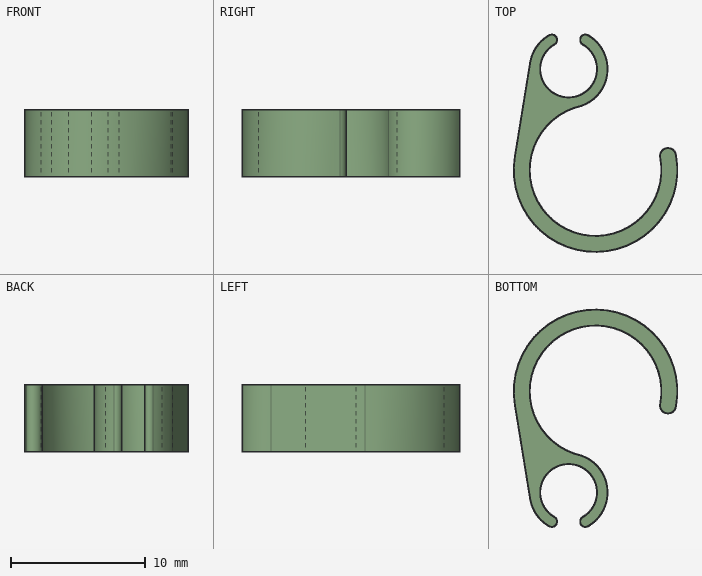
import cadquery as cq
import math

height = 5.0
big_inner_radius = 4.875
big_wall = 1.2
small_inner_radius = 2.1
small_wall = 0.8
small_center = (-2.0, 7.5)
big_tip_angle = 11.0
small_tip_angle = 60.0

big_outer_radius = big_inner_radius + big_wall
small_outer_radius = small_inner_radius + small_wall
center_distance = math.hypot(*small_center)
big_center = (0.0, 0.0)

to_small = math.degrees(math.atan2(small_center[1], small_center[0]))
flank_normal = to_small + math.degrees(
    math.acos((big_outer_radius - small_outer_radius) / center_distance)
)
left_tip_angle = 180.0 - small_tip_angle


def triangle_angle(near_side, other_near_side, far_side):
    """Angle (degrees) between two sides of a triangle, opposite the far side."""
    cosine = (near_side**2 + other_near_side**2 - far_side**2) / (2 * near_side * other_near_side)
    return math.degrees(math.acos(cosine))


crossing_from_big = to_small - triangle_angle(center_distance, big_inner_radius, small_outer_radius)
crossing_from_small = (
    to_small - 180.0 + triangle_angle(center_distance, small_outer_radius, big_inner_radius)
)


def polar(center, radius, angle):
    """Point at a radius and an angle (degrees) from a centre."""
    turn = math.radians(angle)
    return (center[0] + radius * math.cos(turn), center[1] + radius * math.sin(turn))


def arc(sketch, center, radius, start, end):
    """Continue the outline along a circle to the end angle."""
    middle = (start + end) / 2
    return sketch.threePointArc(polar(center, radius, middle), polar(center, radius, end))


def round_tip(sketch, center, inner_radius, wall, angle, start, end):
    """Continue the outline half way round the end of a curved wall."""
    tip_center = polar(center, inner_radius + wall / 2, angle)
    return arc(sketch, tip_center, wall / 2, start, end)


def clip_outline():
    """Closed outline, walked clockwise from the outer end of the hook tip."""
    sketch = cq.Workplane("XY").moveTo(*polar(big_center, big_outer_radius, big_tip_angle))

    sketch = arc(sketch, big_center, big_outer_radius, big_tip_angle + 360, flank_normal)
    sketch = sketch.lineTo(*polar(small_center, small_outer_radius, flank_normal))

    sketch = arc(sketch, small_center, small_outer_radius, flank_normal, left_tip_angle)
    sketch = round_tip(
        sketch, small_center, small_inner_radius, small_wall,
        left_tip_angle, left_tip_angle, left_tip_angle - 180,
    )
    sketch = arc(sketch, small_center, small_inner_radius, left_tip_angle, small_tip_angle + 360)
    sketch = round_tip(
        sketch, small_center, small_inner_radius, small_wall,
        small_tip_angle, small_tip_angle + 180, small_tip_angle,
    )
    sketch = arc(sketch, small_center, small_outer_radius, small_tip_angle, crossing_from_small)

    sketch = arc(sketch, big_center, big_inner_radius, crossing_from_big, big_tip_angle + 360)
    sketch = round_tip(
        sketch, big_center, big_inner_radius, big_wall,
        big_tip_angle, big_tip_angle + 180, big_tip_angle,
    )
    return sketch.close()


result = clip_outline().extrude(height)